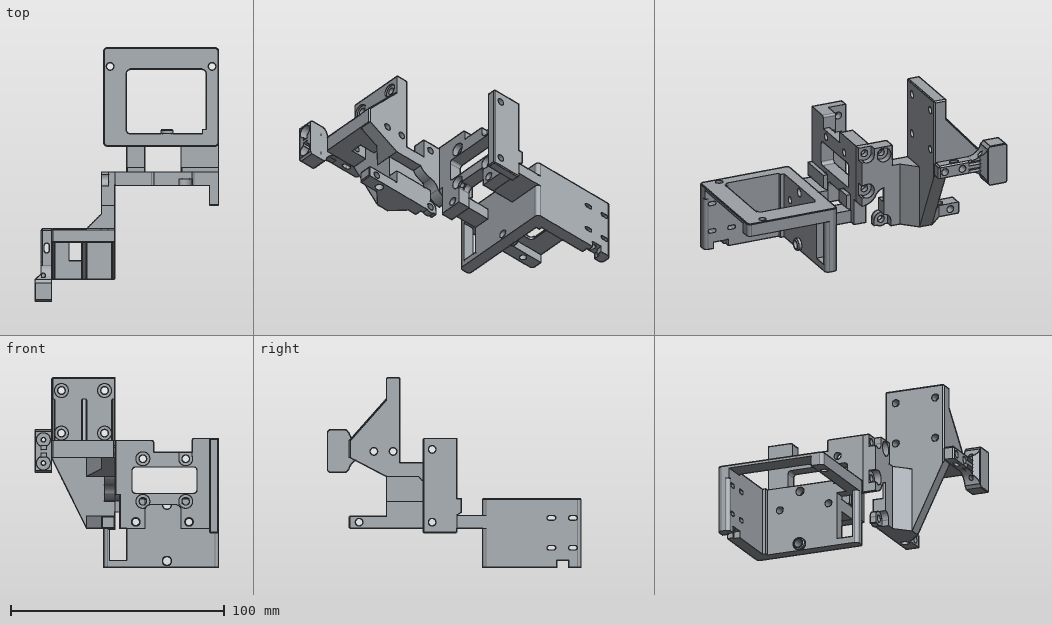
import cadquery as cq

JOINT_X = 37.5
TOTAL_X = 86.0
TOTAL_Y = 118.6
BASE_Z = 18.3
BOLT_D = 3.4
HEAD_D = 6.5
WIDE_BOLT_D = 4.0
HEAD_DEPTH = 3.2
EDGE_CHAMFER = 0.5
OVERCUT = 1.2


def block(x0, x1, y0, y1, z0, z1):
    """Box between two opposite corners."""
    return cq.Workplane("XY").box(x1 - x0, y1 - y0, z1 - z0, centered=False).translate((x0, y0, z0))


def rod_x(diameter, y, z, x0, x1):
    """Cylinder along X."""
    return cq.Workplane("YZ").center(y, z).circle(diameter / 2).extrude(x1 - x0).translate((x0, 0, 0))


def rod_y(diameter, x, z, y0, y1):
    """Cylinder along Y."""
    return cq.Workplane("XZ").center(x, z).circle(diameter / 2).extrude(y0 - y1).translate((0, y0, 0))


def rod_z(diameter, x, y, z0, z1):
    """Cylinder along Z."""
    return cq.Workplane("XY").center(x, y).circle(diameter / 2).extrude(z1 - z0).translate((0, 0, z0))


def prism_x(points, x0, x1):
    """Polygon in the YZ plane, extruded along X."""
    return cq.Workplane("YZ").polyline(points).close().extrude(x1 - x0).translate((x0, 0, 0))


PLATE_Y0 = 54.1
PLATE_Y1 = 60.5
ARM_HOLES_X = (47.2, 72.1)
ARM_HOLE_Z = 21.2
JOINT_HOLE_Y = 57.5
JOINT_HOLES_Z = (56.2, 38.3)
FLANGE_HOLE_Y = 49.0
FLANGE_HOLES_Z = (55.1, 21.1)
SHELF_HOLES_Y = (21.7, 30.7)
SHELF_HOLE_Z = 54.2

RELIEF_FRONT_Y = FLANGE_HOLE_Y
RELIEF_FRONT_Z = 38.4
RELIEF_BACK_Z = 31.1
RELIEF_PLATE_DEPTH = 2.1
RELIEF_MID = (53.7, 34.4)
RELIEF_BACK_BULGE = (57.5, 31.5)
RELIEF_FRONT_BULGE = (51.3, 37.5)


def cable_relief(x0, x1):
    back = PLATE_Y1 + OVERCUT
    bottom = BASE_Z - OVERCUT
    return (
        cq.Workplane("YZ")
        .moveTo(RELIEF_FRONT_Y, bottom)
        .lineTo(RELIEF_FRONT_Y, RELIEF_FRONT_Z)
        .threePointArc(RELIEF_FRONT_BULGE, RELIEF_MID)
        .threePointArc(RELIEF_BACK_BULGE, (PLATE_Y1, RELIEF_BACK_Z))
        .lineTo(back, RELIEF_BACK_Z)
        .lineTo(back, bottom)
        .close()
        .extrude(x1 - x0)
        .translate((x0, 0, 0))
    )


FRAME_X0 = 32.1
FRAME_Y0 = 72.4
FRAME_TOP = 32.1
FRAME_WALL = 5.9
DECK_Z = 25.8
SKIN_THICKNESS = 1.5
FRAME_CORNER_R = 1.8
FRAME_EDGE = 0.4
WINDOW_X0 = 42.8
WINDOW_Y1 = 108.2
WINDOW_EDGE = 0.6
WINDOW_R = 1.8
POST_X0 = 78.4
POST_Y1 = 80.4
WALL_OPENING = (35.0, 42.9, 3.2)
ARM_SPANS_X = ((42.9, 51.5), (68.3, TOTAL_X))
ARM_TOP = 24.3
DECK_HOLES_X = (35.2, 82.9)
DECK_HOLE_Y = 109.8
NOZZLE_X = 61.8
NOZZLE_D = 5.8
NOZZLE_Z = 3.0
NOZZLE_TIP_CHAMFER = 0.6
UPPER_HOLE_Z = 29.2
TIE_SLOTS_Y = (104.7, 114.8)
TIE_SLOTS_Z = (9.1, 23.1)
TIE_SLOT_LENGTH = 4.0
TIE_SLOT_WIDTH = 2.0
NOTCH_Y = (107.3, 112.8)
NOTCH_RECESS_Y = (106.3, 113.9)
NOTCH_RECESS_DEPTH = 3.0
NOTCH_TOP = 3.2


def make_frame():
    inner_x = TOTAL_X - FRAME_WALL
    inner_y = FRAME_Y0 + FRAME_WALL
    below = -OVERCUT
    above = FRAME_TOP + OVERCUT
    deck = block(FRAME_X0, TOTAL_X, FRAME_Y0, TOTAL_Y, DECK_Z, FRAME_TOP)
    deck = deck.edges("|Z").fillet(FRAME_CORNER_R).faces(">Z").edges().chamfer(FRAME_EDGE)
    walls = (
        cq.Workplane("XY")
        .polyline([
            (FRAME_X0, FRAME_Y0),
            (TOTAL_X, FRAME_Y0),
            (TOTAL_X, TOTAL_Y),
            (inner_x, TOTAL_Y),
            (inner_x, inner_y),
            (FRAME_X0, inner_y),
        ])
        .close()
        .extrude(DECK_Z)
    )
    upright = cq.selectors.ParallelDirSelector(cq.Vector(0, 0, 1))
    inner_corner = cq.selectors.BoxSelector(
        (inner_x - OVERCUT, inner_y - OVERCUT, below),
        (inner_x + OVERCUT, inner_y + OVERCUT, above),
    )
    walls = walls.edges(cq.selectors.SubtractSelector(upright, inner_corner)).fillet(FRAME_CORNER_R)
    window = block(WINDOW_X0, inner_x, inner_y, WINDOW_Y1, below, above).edges("|Z").fillet(WINDOW_R)
    window_edge = prism_x([
        (WINDOW_Y1, FRAME_TOP - WINDOW_EDGE),
        (WINDOW_Y1 + WINDOW_EDGE, FRAME_TOP),
        (WINDOW_Y1, FRAME_TOP),
    ], WINDOW_X0 + WINDOW_R, inner_x - WINDOW_R)

    rim_x = FRAME_X0 + FRAME_WALL
    under_skin = block(rim_x, inner_x, inner_y, TOTAL_Y + OVERCUT, below, FRAME_TOP - SKIN_THICKNESS)
    post = block(POST_X0, inner_x, inner_y, POST_Y1, 0, FRAME_TOP)
    frame = deck.cut(window).cut(window_edge).cut(under_skin).union(walls).union(post)

    for x0, x1 in ARM_SPANS_X:
        frame = frame.union(block(x0, x1, PLATE_Y1, FRAME_Y0 + FRAME_CORNER_R, BASE_Z, ARM_TOP))
    for x in ARM_HOLES_X:
        frame = frame.cut(rod_y(BOLT_D, x, ARM_HOLE_Z, PLATE_Y1 - OVERCUT, POST_Y1))

    left, right, bottom = WALL_OPENING
    frame = frame.cut(block(left, right, FRAME_Y0 - OVERCUT, inner_y + OVERCUT, bottom, DECK_Z))

    nozzle = rod_y(NOZZLE_D, NOZZLE_X, NOZZLE_Z, inner_y - OVERCUT, POST_Y1)
    frame = frame.union(nozzle.faces(">Y").chamfer(NOZZLE_TIP_CHAMFER))
    for z in (NOZZLE_Z, UPPER_HOLE_Z):
        frame = frame.cut(rod_y(WIDE_BOLT_D, NOZZLE_X, z, FRAME_Y0 - OVERCUT, POST_Y1 + OVERCUT))

    for x in DECK_HOLES_X:
        frame = frame.cut(rod_z(BOLT_D, x, DECK_HOLE_Y, below, above))

    for y in TIE_SLOTS_Y:
        for z in TIE_SLOTS_Z:
            slot = cq.Workplane("YZ").center(y, z).slot2D(TIE_SLOT_LENGTH, TIE_SLOT_WIDTH)
            frame = frame.cut(slot.extrude(TOTAL_X + OVERCUT - POST_X0).translate((POST_X0, 0, 0)))
    frame = frame.cut(block(inner_x - OVERCUT, TOTAL_X + OVERCUT, *NOTCH_Y, below, NOTCH_TOP))
    recess_x1 = inner_x + NOTCH_RECESS_DEPTH
    return frame.cut(block(inner_x - OVERCUT, recess_x1, *NOTCH_RECESS_Y, below, NOTCH_TOP))


PLATE_TOP_LEFT = 59.3
PLATE_TOP_RIGHT = 60.2
TOP_GAP = (55.6, 73.5, 53.8)
TOP_GAP_R = 1.0
PLATE_WINDOW = (45.5, 75.8, 34.6, 46.8)
PLATE_WINDOW_R = 1.5
BOTTOM_GAP = (51.6, 68.3, 29.3)
BOTTOM_GAP_R = 2.4
PLATE_HOLES_X = (50.5, 70.5)
PLATE_HOLES_Z = (30.8, 50.7)
FLANGE_X0 = 81.6
FLANGE_Y0 = 44.7
FLANGE_Z0 = 16.1
PAD_SPANS_X = ((43.4, 51.5), (68.8, TOTAL_X))
PAD_THICKNESS = 2.1
PAD_TOP = 32.1
PAD_SLOPE_HEIGHT = 1.4
JOINT_HOLE_DEPTH = 5.9


def make_cross_plate():
    gap_left, gap_right, gap_z = TOP_GAP
    plate = (
        cq.Workplane("XZ")
        .polyline([
            (JOINT_X, BASE_Z),
            (TOTAL_X, BASE_Z),
            (TOTAL_X, PLATE_TOP_RIGHT),
            (gap_right, PLATE_TOP_RIGHT),
            (gap_right, gap_z),
            (gap_left, gap_z),
            (gap_left, PLATE_TOP_LEFT),
            (JOINT_X, PLATE_TOP_LEFT),
        ])
        .close()
        .extrude(PLATE_Y0 - PLATE_Y1)
        .translate((0, PLATE_Y0, 0))
    )
    for x, z in ((gap_left, PLATE_TOP_LEFT), (gap_right, PLATE_TOP_RIGHT)):
        corner = cq.selectors.NearestToPointSelector((x, (PLATE_Y0 + PLATE_Y1) / 2, z))
        plate = plate.edges(corner).fillet(TOP_GAP_R)
    relief_x = JOINT_X + RELIEF_PLATE_DEPTH
    plate = plate.cut(cable_relief(JOINT_X, relief_x))
    for x, z in ((JOINT_X, (RELIEF_FRONT_Z + PLATE_TOP_LEFT) / 2), (relief_x, (BASE_Z + RELIEF_BACK_Z) / 2)):
        joint_edge = cq.selectors.NearestToPointSelector((x, PLATE_Y0, z))
        plate = plate.edges(joint_edge).chamfer(EDGE_CHAMFER)

    flange = block(FLANGE_X0, TOTAL_X, FLANGE_Y0, PLATE_Y1, FLANGE_Z0, PLATE_TOP_RIGHT)
    plate = plate.union(flange.faces("<Y or <Z").edges().chamfer(EDGE_CHAMFER))

    pad_y1 = PLATE_Y1 + PAD_THICKNESS
    for x0, x1 in PAD_SPANS_X:
        plate = plate.union(prism_x([
            (PLATE_Y1, ARM_TOP),
            (pad_y1, ARM_TOP + PAD_SLOPE_HEIGHT),
            (pad_y1, PAD_TOP),
            (PLATE_Y1, PAD_TOP),
        ], x0, x1))

    front = PLATE_Y0 - OVERCUT
    back = PLATE_Y1 + OVERCUT
    x0, x1, z0, z1 = PLATE_WINDOW
    plate = plate.cut(block(x0, x1, front, back, z0, z1).edges("|Y").fillet(PLATE_WINDOW_R))
    left, right, top = BOTTOM_GAP
    gap = block(left, right, front, PLATE_Y1, BASE_Z - OVERCUT, top)
    plate = plate.cut(gap.edges("|Y and >Z").fillet(BOTTOM_GAP_R))

    for x in PLATE_HOLES_X:
        for z in PLATE_HOLES_Z:
            plate = plate.cut(rod_y(BOLT_D, x, z, front, PLATE_Y1))
            plate = plate.cut(rod_y(HEAD_D, x, z, front, PLATE_Y0 + HEAD_DEPTH))
    x, z = PLATE_HOLES_X[1], PLATE_HOLES_Z[1]
    plate = plate.cut(block(x - HEAD_D / 2, gap_right, front, PLATE_Y0 + HEAD_DEPTH, z, gap_z + OVERCUT))

    for x in ARM_HOLES_X:
        plate = plate.cut(rod_y(WIDE_BOLT_D, x, ARM_HOLE_Z, front, back))
    for z in JOINT_HOLES_Z:
        plate = plate.cut(rod_x(BOLT_D, JOINT_HOLE_Y, z, JOINT_X, JOINT_X + JOINT_HOLE_DEPTH))
    for z in FLANGE_HOLES_Z:
        plate = plate.cut(rod_x(BOLT_D, FLANGE_HOLE_Y, z, FLANGE_X0 - OVERCUT, TOTAL_X + OVERCUT))
    return plate


BRACKET_X0 = 7.8
BRACKET_TOP = 88.7
PANEL_Y0 = 27.5
PANEL_Y1 = 33.9
PANEL_CHAMFER = 0.7
SHELF_Z0 = 51.2
SHELF_Z1 = 59.3
SHELF_Y0 = 10.2
GUSSET_TOP = 78.7
GUSSET_SPANS_X = ((BRACKET_X0, 9.5), (21.8, 24.3), (35.9, JOINT_X))
SHELF_OPENING = (16.0, 21.8, 19.0)
SIDE_WALL_X0 = 31.1
SIDE_WALL_STEP_Y = 44.7
SIDE_WALL_LOW_TOP = 49.0
BRACE = 6.9
BRACE_X0 = SIDE_WALL_X0 - BRACE
LOWER_ARM_TOP = 24.0
UPPER_ARM_Z0 = 42.5
UPPER_ARM_TIP_Y = 10.7
PANEL_HOLES_X = (12.5, 32.6)
PANEL_HOLES_Z = (62.7, 82.6)
PANEL_HEAD_DEPTH = 1.0
ARM_CROSS_HOLE_Y = 14.8
ARM_DOWN_HOLE_Y = 19.5
SIDE_HEAD_D = 7.0
SIDE_HEAD_DEPTH = 3.4
RUN_OUT_WIDTH = 6.0
CHANNEL_X0 = 32.5
CHANNEL_Z0 = 30.8
CHANNEL_FLAT_Y = 42.7
CHANNEL_BULGE = (45.3, 39.8)


def make_bracket_arm(z0, z1):
    """Arm in front of the panel, braced at 45 degrees like the back wall."""
    return (
        cq.Workplane("XY")
        .polyline([
            (BRACE_X0, PANEL_Y0),
            (SIDE_WALL_X0, PANEL_Y0 - BRACE),
            (SIDE_WALL_X0, SHELF_Y0),
            (JOINT_X, SHELF_Y0),
            (JOINT_X, PANEL_Y0),
        ])
        .close()
        .extrude(z1 - z0)
        .translate((0, 0, z0))
    )


def make_panel():
    panel = (
        cq.Workplane("XZ")
        .polyline([
            (BRACKET_X0, SHELF_Z0),
            (BRACE_X0, BASE_Z),
            (JOINT_X, BASE_Z),
            (JOINT_X, BRACKET_TOP),
            (BRACKET_X0, BRACKET_TOP),
        ])
        .close()
        .extrude(PANEL_Y0 - PANEL_Y1)
        .translate((0, PANEL_Y0, 0))
    )
    panel = panel.faces("<X").edges(">Y or >Z").chamfer(PANEL_CHAMFER)
    return panel.faces(">Z").edges("<Y or >Y").chamfer(EDGE_CHAMFER)


def make_shelf():
    shelf = block(BRACKET_X0, JOINT_X, SHELF_Y0, PANEL_Y0, SHELF_Z0, SHELF_Z1)
    shelf = shelf.edges("|Z and <Y").chamfer(PANEL_CHAMFER)
    slope = cq.selectors.ParallelDirSelector(cq.Vector(0, PANEL_Y0 - SHELF_Y0, GUSSET_TOP - SHELF_Z1))
    for x0, x1 in GUSSET_SPANS_X:
        gusset = prism_x([
            (SHELF_Y0, SHELF_Z1),
            (PANEL_Y0, SHELF_Z1),
            (PANEL_Y0, GUSSET_TOP),
        ], x0, x1)
        shelf = shelf.union(gusset.edges(slope).chamfer(EDGE_CHAMFER))
    left, right, front = SHELF_OPENING
    return shelf.cut(block(left, right, front, PANEL_Y0, SHELF_Z0 - OVERCUT, SHELF_Z1 + OVERCUT))


def make_side_wall():
    wall = prism_x([
        (PANEL_Y1, BASE_Z),
        (PLATE_Y1, BASE_Z),
        (PLATE_Y1, SHELF_Z1),
        (SIDE_WALL_STEP_Y, SHELF_Z1),
        (SIDE_WALL_STEP_Y, SIDE_WALL_LOW_TOP),
        (PANEL_Y1, SIDE_WALL_LOW_TOP),
    ], SIDE_WALL_X0, JOINT_X)
    brace = (
        cq.Workplane("XY")
        .polyline([(BRACE_X0, PANEL_Y1), (SIDE_WALL_X0, PANEL_Y1), (SIDE_WALL_X0, PANEL_Y1 + BRACE)])
        .close()
        .extrude(SIDE_WALL_LOW_TOP - BASE_Z)
        .translate((0, 0, BASE_Z))
    )
    wall = wall.union(brace).cut(cable_relief(SIDE_WALL_X0 - OVERCUT, JOINT_X))

    seat_x = SIDE_WALL_X0 + SIDE_HEAD_DEPTH
    lower_z = FLANGE_HOLES_Z[1]
    half = SIDE_HEAD_D / 2
    lug = rod_x(SIDE_HEAD_D, FLANGE_HOLE_Y, lower_z, seat_x, JOINT_X)
    lug = lug.union(block(seat_x, JOINT_X, FLANGE_HOLE_Y - half, FLANGE_HOLE_Y + half, BASE_Z, lower_z))
    wall = wall.union(lug)

    out = SIDE_WALL_X0 - OVERCUT
    wall = wall.cut(block(out, seat_x, FLANGE_HOLE_Y - half, FLANGE_HOLE_Y + half, BASE_Z - OVERCUT, lower_z))
    for z in JOINT_HOLES_Z:
        run_out = cq.Workplane("XY").box(seat_x - out, PLATE_Y1 + OVERCUT - JOINT_HOLE_Y, RUN_OUT_WIDTH,
                                         centered=(False, False, True))
        wall = wall.cut(run_out.translate((out, JOINT_HOLE_Y, z)))
    top_z = JOINT_HOLES_Z[0]
    wall = wall.cut(block(out, seat_x, JOINT_HOLE_Y - half, PLATE_Y1 + OVERCUT, top_z, SHELF_Z1 + OVERCUT))
    for y, heights in ((JOINT_HOLE_Y, JOINT_HOLES_Z), (FLANGE_HOLE_Y, FLANGE_HOLES_Z)):
        for z in heights:
            wall = wall.cut(rod_x(SIDE_HEAD_D, y, z, out, seat_x))
            wall = wall.cut(rod_x(BOLT_D, y, z, out, JOINT_X + OVERCUT))
    return wall


def cable_channel():
    """Channel from the front of the panel to the cable relief, open toward the cross plate."""
    return (
        cq.Workplane("YZ")
        .moveTo(PANEL_Y0 - OVERCUT, CHANNEL_Z0)
        .lineTo(RELIEF_FRONT_Y, CHANNEL_Z0)
        .lineTo(RELIEF_FRONT_Y, RELIEF_FRONT_Z)
        .threePointArc(CHANNEL_BULGE, (CHANNEL_FLAT_Y, UPPER_ARM_Z0))
        .lineTo(PANEL_Y0 - OVERCUT, UPPER_ARM_Z0)
        .close()
        .extrude(JOINT_X - CHANNEL_X0)
        .translate((CHANNEL_X0, 0, 0))
    )


def make_side_bracket():
    upper_arm = make_bracket_arm(UPPER_ARM_Z0, SHELF_Z0).intersect(prism_x([
        (PANEL_Y0, UPPER_ARM_Z0),
        (PANEL_Y0, SHELF_Z0),
        (UPPER_ARM_TIP_Y, SHELF_Z0),
    ], BRACE_X0, JOINT_X))
    lower_arm = make_bracket_arm(BASE_Z, LOWER_ARM_TOP)
    lower_arm = lower_arm.faces("<Y").edges().chamfer(EDGE_CHAMFER)
    mid_x = (SIDE_WALL_X0 + JOINT_X) / 2
    lower_arm = lower_arm.cut(rod_x(BOLT_D, ARM_CROSS_HOLE_Y, FLANGE_HOLES_Z[1], BRACE_X0, JOINT_X + OVERCUT))
    lower_arm = lower_arm.cut(rod_z(WIDE_BOLT_D, mid_x, ARM_DOWN_HOLE_Y, BASE_Z - OVERCUT, SHELF_Z0))

    bracket = make_panel().union(make_shelf())
    panel_edge_z = (GUSSET_TOP + BRACKET_TOP) / 2
    panel_edge = cq.selectors.NearestToPointSelector((BRACKET_X0, PANEL_Y0, panel_edge_z))
    bracket = bracket.edges(panel_edge).chamfer(PANEL_CHAMFER).union(upper_arm).union(lower_arm)
    bracket = bracket.union(make_side_wall()).cut(cable_channel())
    for x in PANEL_HOLES_X:
        for z in PANEL_HOLES_Z:
            bracket = bracket.cut(rod_y(BOLT_D, x, z, PANEL_Y0 - OVERCUT, PANEL_Y1 + OVERCUT))
            bracket = bracket.cut(rod_y(HEAD_D, x, z, PANEL_Y0, PANEL_Y0 + PANEL_HEAD_DEPTH))
    for y in SHELF_HOLES_Y:
        bracket = bracket.cut(rod_x(BOLT_D, y, SHELF_HOLE_Z, BRACKET_X0 - OVERCUT, JOINT_X + OVERCUT))
    return bracket


HEAD_BACK_Y = 10.1
HEAD_Z0 = 44.3
HEAD_Z1 = 64.4
HEAD_BACK_CHAMFER = 1.4
HEAD_FRONT_CHAMFER = 1.0
HEAD_SIDE_CHAMFER = 0.4
NECK_X0 = 2.8
NECK_Z0 = 51.3
NECK_Z1 = 57.5
NECK_CHAMFER = 0.7
FLARE_Y1 = 16.8
FLARE_HEIGHT = 5.5
FLARE_BULGE = (12.2, 1.9)
SIDE_FLARE_LENGTH = 2.6
SENSOR_X = 4.0
SENSORS_Z = (48.7, 59.6)
SENSOR_DEPTH = 7.1
LEAD_HOLE_D = 2.0
LEAD_GROOVES = ((51.5, 53.4), (55.0, 56.9))
LEAD_X1 = 5.5
LEAD_Y1 = 18.3
NECK_SLOT = (5.6, 24.9, 4.5, 2.4)


def make_flare():
    bulge_y, bulge_h = FLARE_BULGE
    return (
        cq.Workplane("YZ")
        .moveTo(HEAD_BACK_Y, NECK_Z0 - FLARE_HEIGHT)
        .threePointArc((bulge_y, NECK_Z0 - bulge_h), (FLARE_Y1, NECK_Z0))
        .lineTo(FLARE_Y1, NECK_Z1)
        .threePointArc((bulge_y, NECK_Z1 + bulge_h), (HEAD_BACK_Y, NECK_Z1 + FLARE_HEIGHT))
        .close()
        .extrude(BRACKET_X0)
    )


def make_sensor_holder():
    head = block(0, BRACKET_X0, 0, HEAD_BACK_Y, HEAD_Z0, HEAD_Z1)
    head = head.faces(">Y").edges("|X").chamfer(HEAD_BACK_CHAMFER)
    head = head.faces("<Y").edges("|X").chamfer(HEAD_FRONT_CHAMFER)
    head = head.faces("<X").edges("<Y or >Y or <Z or >Z").chamfer(HEAD_SIDE_CHAMFER)
    neck = block(NECK_X0, BRACKET_X0, HEAD_BACK_Y, PANEL_Y1, NECK_Z0, NECK_Z1)
    neck = neck.edges("(<X and >Z) or (>Y and >Z) or (>Y and <X)").chamfer(NECK_CHAMFER)

    plan = (
        cq.Workplane("XY")
        .polyline([
            (0, HEAD_BACK_Y),
            (BRACKET_X0, HEAD_BACK_Y),
            (BRACKET_X0, FLARE_Y1),
            (NECK_X0, FLARE_Y1),
            (NECK_X0, HEAD_BACK_Y + SIDE_FLARE_LENGTH),
        ])
        .close()
        .extrude(BRACKET_TOP)
    )
    holder = head.union(neck).union(make_flare().intersect(plan))

    for z in SENSORS_Z:
        holder = holder.cut(rod_y(HEAD_D, SENSOR_X, z, 0, SENSOR_DEPTH))
        holder = holder.cut(rod_y(LEAD_HOLE_D, SENSOR_X, z, 0, FLARE_Y1))
    for sensor_z, (z0, z1) in zip(SENSORS_Z, LEAD_GROOVES):
        holder = holder.cut(block(NECK_X0, LEAD_X1, -OVERCUT, LEAD_Y1, z0, z1))
        low = min(sensor_z, z0)
        high = max(sensor_z, z1)
        holder = holder.cut(block(NECK_X0, LEAD_X1, -OVERCUT, SENSOR_DEPTH, low, high))

    x, y, length, width = NECK_SLOT
    slot = cq.Workplane("XY").center(x, y).slot2D(length, width, 90)
    holder = holder.cut(slot.extrude(BRACKET_TOP))
    for y in SHELF_HOLES_Y:
        holder = holder.cut(rod_x(BOLT_D, y, SHELF_HOLE_Z, 0, BRACKET_X0 + OVERCUT))
    return holder


frame = make_frame()
cross_plate = make_cross_plate()
side_bracket = make_side_bracket()
sensor_holder = make_sensor_holder()

result = cq.Compound.makeCompound([
    frame.solids().val(),
    cross_plate.solids().val(),
    side_bracket.solids().val(),
    sensor_holder.solids().val(),
])